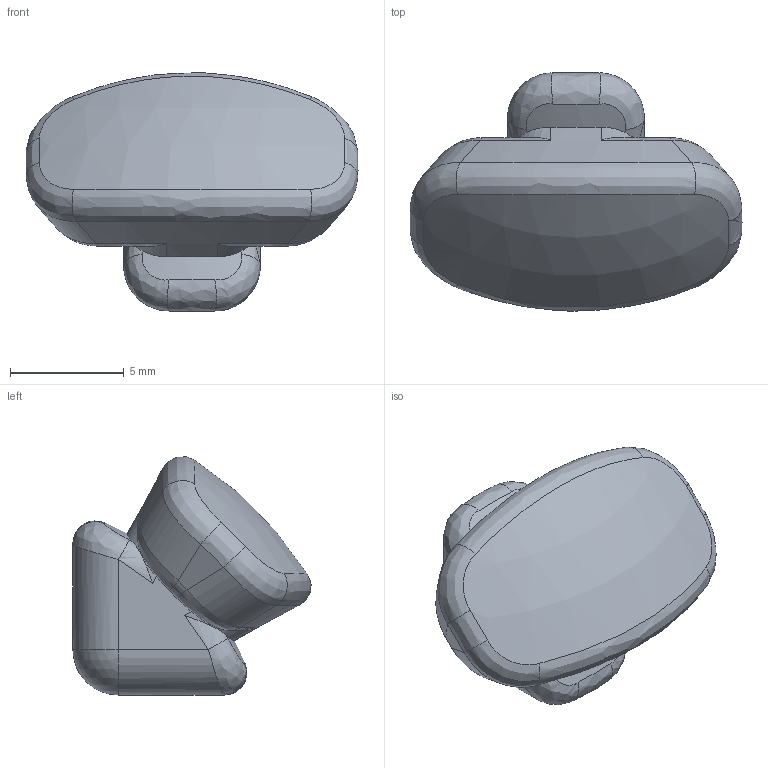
import cadquery as cq
import math

AXIS = cq.Vector(0, -1, 1).normalized()

HEAD_RADIUS = 16.11
HEAD_UNDERSIDE_RADIUS = 12.07
HEAD_CORNER_RADIUS = 3.0
HEAD_RIM_RADIUS = 1.0
HEAD_END_HALF_LENGTH = 7.395
HEAD_END_HEIGHT = 13.7
HEAD_END_DRAFT = 25.0

WALL_ANGLE = 28.6

FOOT_WIDTH = 6.02
FOOT_OFFSET = 3.27
FOOT_TOP_RADIUS = 11.82
FOOT_CORNER_RADIUS = 2.0
FOOT_RIM_RADIUS = 1.0

NECK_CORNER_RADIUS = 2.0
NECK_BOTTOM_HEIGHT = 9.0
NECK_TOP_RADIUS = (HEAD_UNDERSIDE_RADIUS + HEAD_RADIUS) / 2

TRIM_ALLOWANCE = 1.0
HEAD_BLOCK_BOTTOM = 10.4
BLOCK_TOP = HEAD_RADIUS + TRIM_ALLOWANCE
CUTTER_LENGTH = 20.0

TOLERANCE = 1e-3
EDGE_SAMPLES = [0, 0.3, 0.6, 1]


def sphere(radius):
    return cq.Workplane().sphere(radius)


def wall_cone(direction):
    """Solid cone opening along `direction` from the origin; its skin is one long wall."""
    base_radius = CUTTER_LENGTH / math.tan(math.radians(WALL_ANGLE))
    cone = cq.Solid.makeCone(0, base_radius, CUTTER_LENGTH, cq.Vector(), direction)
    return cq.Workplane(obj=cone)


def end_prism(bottom, top, bottom_half, top_half):
    """Prism between two heights, with ends `bottom_half` and `top_half` from X = 0."""
    across = cq.Plane(origin=(0, 0, 0), xDir=(1, 0, 0), normal=(0, -1, -1))
    profile = [
        (-bottom_half, bottom),
        (bottom_half, bottom),
        (top_half, top),
        (-top_half, top),
    ]
    return cq.Workplane(across).polyline(profile).close().extrude(CUTTER_LENGTH, both=True)


def rounded_block(bottom, top, bottom_half, top_half, corner_radius):
    """Block between the long walls with its four upright corners rounded."""
    block = end_prism(bottom, top, bottom_half, top_half)
    block = block.intersect(wall_cone(cq.Vector(0, 0, 1)))
    block = block.intersect(wall_cone(cq.Vector(0, -1, 0)))
    corners = []
    for edge in block.edges().vals():
        rise = abs((edge.endPoint() - edge.startPoint()).dot(AXIS))
        is_upright = rise > (top - bottom) / 2
        is_at_end = abs(edge.Center().x) > bottom_half / 2
        if is_upright and is_at_end:
            corners.append(edge)
    return block.newObject(corners).fillet(corner_radius)


def round_rim(solid, sphere_radius, rim_radius):
    """Round every edge that lies on the sphere of `sphere_radius`."""
    rim = []
    for edge in solid.edges().vals():
        points = edge.positions(EDGE_SAMPLES)
        if all(abs(point.Length - sphere_radius) < TOLERANCE for point in points):
            rim.append(edge)
    return solid.newObject(rim).fillet(rim_radius)


def head_half_length(height):
    """Half length of the head along X at a height, before its rims are rounded."""
    return HEAD_END_HALF_LENGTH + (height - HEAD_END_HEIGHT) * math.tan(math.radians(HEAD_END_DRAFT))


def make_head():
    block = rounded_block(
        HEAD_BLOCK_BOTTOM,
        BLOCK_TOP,
        head_half_length(HEAD_BLOCK_BOTTOM),
        head_half_length(BLOCK_TOP),
        HEAD_CORNER_RADIUS,
    )
    head = block.intersect(sphere(HEAD_RADIUS)).cut(sphere(HEAD_UNDERSIDE_RADIUS))
    for radius in (HEAD_RADIUS, HEAD_UNDERSIDE_RADIUS):
        head = round_rim(head, radius, HEAD_RIM_RADIUS)
    return head


def make_neck():
    half_width = FOOT_WIDTH / 2
    block = rounded_block(NECK_BOTTOM_HEIGHT, BLOCK_TOP, half_width, half_width, NECK_CORNER_RADIUS)
    return block.intersect(sphere(NECK_TOP_RADIUS))


def make_foot():
    size = FOOT_TOP_RADIUS
    box = cq.Workplane().box(FOOT_WIDTH, size, size, centered=(True, False, False))
    box = box.translate((0, -FOOT_OFFSET - size, FOOT_OFFSET))
    outer_edges = "(|Z and >Y) or (|Y and <Z) or (|X and >Y and <Z)"
    box = box.edges(outer_edges).fillet(FOOT_CORNER_RADIUS)
    foot = box.intersect(sphere(FOOT_TOP_RADIUS))
    return round_rim(foot, FOOT_TOP_RADIUS, FOOT_RIM_RADIUS)


result = make_foot().union(make_neck()).union(make_head())